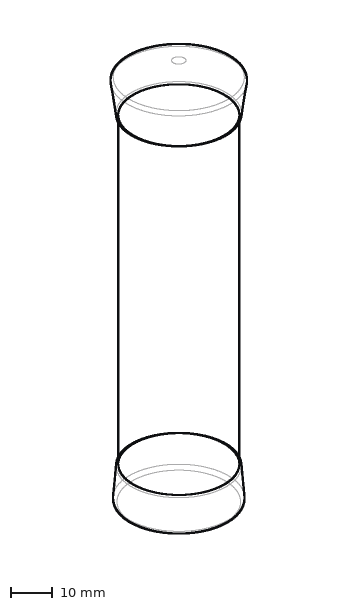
import cadquery as cq
import math

total_height = 123.0
tube_diameter = 29.0

neck_diameter = 30.0
base_diameter = 31.7
base_collar_height = 10.5
cap_collar_bottom = 107.5
rim_diameter = 33.0
lip_round = 0.5
base_round = 1.0
rim_round = 1.0

roof_angle = 18.5
tip_edge_radius = 1.7

EDGE_TOLERANCE = 0.06

tube_radius = tube_diameter / 2
neck_radius = neck_diameter / 2
base_radius = base_diameter / 2
rim_radius = rim_diameter / 2

roof_slope = math.radians(roof_angle)
tip_sphere_radius = tip_edge_radius / math.sin(roof_slope)
tip_edge_height = total_height - tip_sphere_radius * (1 - math.cos(roof_slope))
tip_middle = (
    tip_sphere_radius * math.sin(roof_slope / 2),
    total_height - tip_sphere_radius * (1 - math.cos(roof_slope / 2)),
)
rim_height = tip_edge_height - (rim_radius - tip_edge_radius) * math.tan(roof_slope)


def half_profile():
    """Half section of the solid, radius along X and height along Z."""
    return (
        cq.Workplane("XZ")
        .moveTo(0, 0)
        .lineTo(base_radius, 0)
        .lineTo(neck_radius, base_collar_height)
        .lineTo(tube_radius, base_collar_height)
        .lineTo(tube_radius, cap_collar_bottom)
        .lineTo(neck_radius, cap_collar_bottom)
        .lineTo(rim_radius, rim_height)
        .lineTo(tip_edge_radius, tip_edge_height)
        .threePointArc(tip_middle, (0, total_height))
        .close()
    )


def round_edge(body, radius, height, size):
    """Round the circular edge that has the given radius and lies at the given height."""

    def is_wanted(edge):
        if edge.geomType() != "CIRCLE":
            return False
        same_height = abs(edge.Center().z - height) < EDGE_TOLERANCE
        return same_height and abs(edge.radius() - radius) < EDGE_TOLERANCE

    return body.edges().filter(is_wanted).fillet(size)


result = half_profile().revolve(360, (0, 0, 0), (0, 1, 0))
result = round_edge(result, base_radius, 0, base_round)
result = round_edge(result, neck_radius, base_collar_height, lip_round)
result = round_edge(result, neck_radius, cap_collar_bottom, lip_round)
result = round_edge(result, rim_radius, rim_height, rim_round)